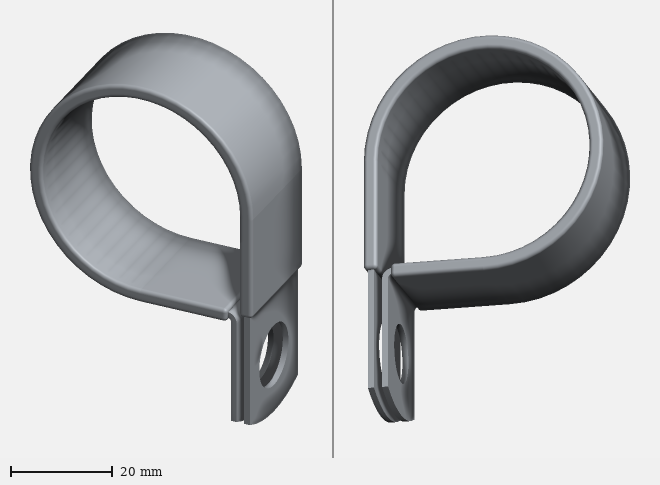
import cadquery as cq
import math


strap_width = 22.23
strap_thickness = 1.22

cover = 0.79
loop_radius = 24.23
loop_thickness = strap_thickness + 2 * cover
loop_width = strap_width + 2 * cover
inner_radius = loop_radius - loop_thickness
bottom_leg_end = 18.72
side_leg_end = -22.3

tab_bottom = -49.2
tab_end_radius = 25.4
bend_start = 18.42
bend_inner_radius = 0.95
bend_outer_radius = bend_inner_radius + strap_thickness
bent_tab_hole_diameter = 11.9
straight_tab_hole_diameter = 13.5
hole_edge_distance = 12.7
hole_z = tab_bottom + hole_edge_distance

strap_outer = loop_radius - cover
strap_inner = strap_outer - strap_thickness


def extrude_about_xz(outline, width):
    """Extrude an XZ outline equally to both sides of the Y = 0 plane."""
    return outline.close().extrude(width / 2, both=True)


def make_cushion():
    """Three quarters of a ring with a straight leg at each end, all edges rounded."""
    diagonal = math.sqrt(0.5)
    outline = (
        cq.Workplane("XZ")
        .moveTo(bottom_leg_end, -loop_radius)
        .lineTo(0, -loop_radius)
        .threePointArc((-loop_radius * diagonal, loop_radius * diagonal), (loop_radius, 0))
        .lineTo(loop_radius, side_leg_end)
        .lineTo(inner_radius, side_leg_end)
        .lineTo(inner_radius, 0)
        .threePointArc((-inner_radius * diagonal, inner_radius * diagonal), (0, -inner_radius))
        .lineTo(bottom_leg_end, -inner_radius)
    )
    cushion = extrude_about_xz(outline, loop_width)
    side_rims = cushion.faces("|Y").edges()
    leg_end_edges = [
        edge for edge in cushion.edges("|Y").vals()
        if min(abs(edge.Center().x), abs(edge.Center().z)) > cover
    ]
    return side_rims.add(cushion.newObject(leg_end_edges)).fillet(cover)


def make_bent_tab():
    """Strap leaving the horizontal leg and turning down through a right-angle bend."""
    bend_z = -strap_inner - bend_outer_radius
    root_x = bottom_leg_end - 2 * cover
    outline = (
        cq.Workplane("XZ")
        .moveTo(root_x, -strap_inner)
        .lineTo(bend_start, -strap_inner)
        .radiusArc((bend_start + bend_outer_radius, bend_z), bend_outer_radius)
        .lineTo(bend_start + bend_outer_radius, tab_bottom)
        .lineTo(bend_start + bend_inner_radius, tab_bottom)
        .lineTo(bend_start + bend_inner_radius, bend_z)
        .radiusArc((bend_start, -strap_outer), -bend_inner_radius)
        .lineTo(root_x, -strap_outer)
    )
    return extrude_about_xz(outline, strap_width)


def make_straight_tab():
    """Strap continuing straight down from the vertical leg."""
    root_z = side_leg_end + 2 * cover
    outline = (
        cq.Workplane("XZ")
        .moveTo(strap_inner, root_z)
        .lineTo(strap_outer, root_z)
        .lineTo(strap_outer, tab_bottom)
        .lineTo(strap_inner, tab_bottom)
    )
    return extrude_about_xz(outline, strap_width)


def make_tab_envelope(hole_diameter):
    """Side profile of a tab: straight sides, arched lower end and bolt hole."""
    half_width = strap_width / 2
    arch_height = tab_end_radius - math.sqrt(tab_end_radius**2 - half_width**2)
    return (
        cq.Workplane("YZ")
        .moveTo(-half_width, 0)
        .lineTo(-half_width, tab_bottom + arch_height)
        .threePointArc((0, tab_bottom), (half_width, tab_bottom + arch_height))
        .lineTo(half_width, 0)
        .close()
        .moveTo(0, hole_z)
        .circle(hole_diameter / 2)
        .extrude(loop_radius)
    )


bent_tab = make_bent_tab().intersect(make_tab_envelope(bent_tab_hole_diameter))
straight_tab = make_straight_tab().intersect(make_tab_envelope(straight_tab_hole_diameter))
result = make_cushion().union(bent_tab).union(straight_tab)